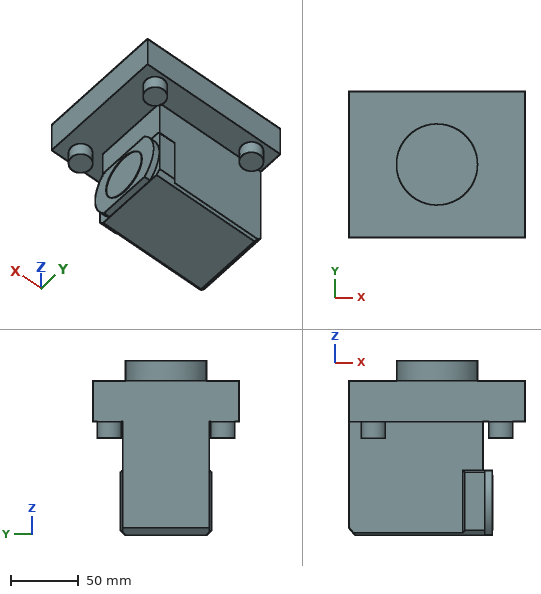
import cadquery as cq

total_height = 129.0
plate_length = 130.0
plate_width = 108.0
plate_thickness = 30.0
boss_diameter = 59.9
boss_height = 15.0

body_length = 99.0
body_width = 64.0
end_chamfer_length = 4.5
end_chamfer_height = 5.5

pin_diameter = 18.0
pin_height = 12.2
pin_spacing_x = 94.1
pin_spacing_y = 84.0

collar_start = 84.0
collar_length = 16.4
collar_overhang = 1.7
collar_height = 48.1
bottom_chamfer = 3.6

cover_diameter = 66.0
cover_height = 47.7
cover_thickness = 5.5
cover_center_z = 24.0
cover_face_diameter = 40.0
cover_face_thickness = 0.5

plate_top = total_height - boss_height
plate_bottom = plate_top - plate_thickness
side_x = -plate_length / 2
collar_width = body_width + 2 * collar_overhang
collar_end_x = side_x + collar_start + collar_length


def make_plate():
    """Top plate with its round boss."""
    plate = cq.Workplane("XY", origin=(0, 0, plate_bottom)).box(
        plate_length, plate_width, plate_thickness, centered=(True, True, False)
    )
    boss = cq.Workplane("XY", origin=(0, 0, plate_top)).circle(boss_diameter / 2).extrude(boss_height)
    return plate.union(boss)


def make_body():
    """Block under the plate, with the lower -X edge chamfered."""
    return (
        cq.Workplane("XZ", origin=(side_x, 0, 0))
        .moveTo(end_chamfer_length, 0)
        .lineTo(body_length, 0)
        .lineTo(body_length, plate_bottom)
        .lineTo(0, plate_bottom)
        .lineTo(0, end_chamfer_height)
        .close()
        .extrude(body_width / 2, both=True)
    )


def make_collar():
    """Raised band around the +X end, its side pads bevelled down to the body."""
    collar = cq.Workplane("XY", origin=(side_x + collar_start, 0, 0)).box(
        collar_length, collar_width, collar_height, centered=(False, True, False)
    )
    return collar.edges("(<X and |Z) or (>Z and |X)").chamfer(collar_overhang)


def make_bottom_envelope():
    """Prism whose lower long edges cut the same sloped faces on body and collar."""
    envelope = cq.Workplane("XY").box(
        2 * plate_length, collar_width, plate_bottom, centered=(True, True, False)
    )
    return envelope.edges("<Z and |X").chamfer(bottom_chamfer)


def make_cover():
    """Round end cover with flats above and below, and a thin raised face."""
    cover = cq.Workplane("YZ", origin=(collar_end_x, 0, cover_center_z))
    disc = cover.circle(cover_diameter / 2).extrude(cover_thickness)
    flats = cover.rect(cover_diameter, cover_height).extrude(cover_thickness)
    raised_face = cover.circle(cover_face_diameter / 2).extrude(cover_thickness + cover_face_thickness)
    return disc.intersect(flats).union(raised_face)


def make_pins():
    """Four pins below the corners of the plate."""
    return (
        cq.Workplane("XY", origin=(0, 0, plate_bottom))
        .rarray(pin_spacing_x, pin_spacing_y, 2, 2)
        .circle(pin_diameter / 2)
        .extrude(-pin_height)
    )


lower_part = make_body().union(make_collar()).intersect(make_bottom_envelope())
result = make_plate().union(lower_part).union(make_cover()).union(make_pins())